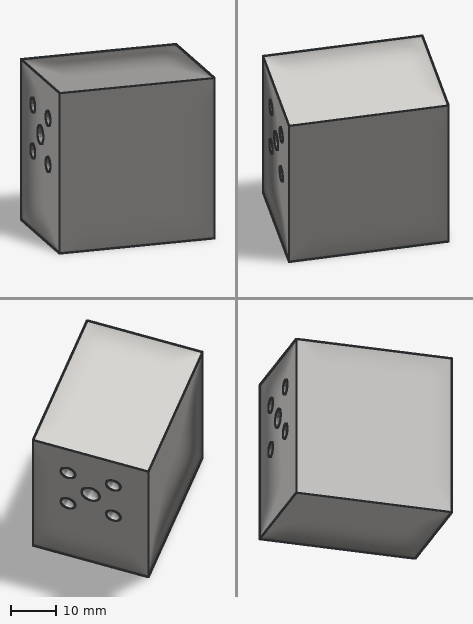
import cadquery as cq

width = 27.0
depth = 36.0
height = 37.0

pattern_x = width / 2
pattern_z = height - width / 2
center_hole_diameter = 4.2
corner_hole_diameter = 3.35
corner_hole_spacing = 10.62

block = cq.Workplane("XY").box(width, depth, height, centered=False)

hole_plane = cq.Workplane("XZ", origin=(pattern_x, depth, pattern_z))
center_hole = hole_plane.circle(center_hole_diameter / 2).extrude(depth)
corner_holes = (
    hole_plane.rect(corner_hole_spacing, corner_hole_spacing, forConstruction=True)
    .vertices()
    .circle(corner_hole_diameter / 2)
    .extrude(depth)
)

result = block.cut(center_hole).cut(corner_holes)